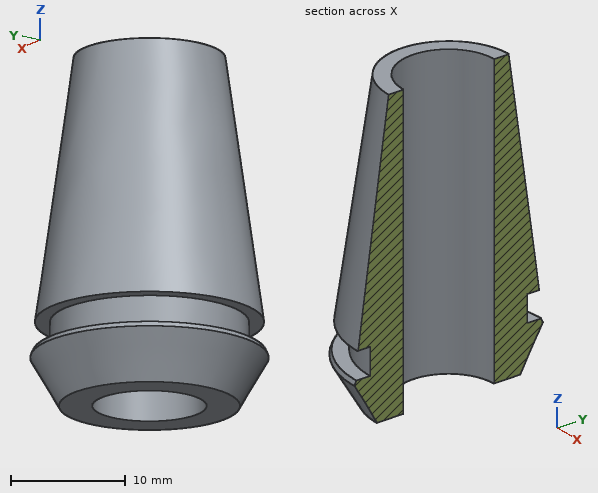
import cadquery as cq
import math

total_height = 31.5
groove_top = 7.6
flange_top = 4.82

bore_diameter = 10.0
nose_diameter = 15.8
flange_diameter = 20.85
flange_top_diameter = 20.4
groove_diameter = 17.4
taper_large_diameter = 20.03
taper_small_diameter = 13.3

nose_half_angle = math.radians(30)
rim_height = (flange_diameter - nose_diameter) / 2 / math.tan(nose_half_angle)

body_profile = [
    (0, 0),
    (nose_diameter, 0),
    (flange_diameter, rim_height),
    (flange_top_diameter, flange_top),
    (groove_diameter, flange_top),
    (groove_diameter, groove_top),
    (taper_large_diameter, groove_top),
    (taper_small_diameter, total_height),
    (0, total_height),
]

body = (
    cq.Workplane("XZ")
    .polyline([(diameter / 2, height) for diameter, height in body_profile])
    .close()
    .revolve(360, (0, 0, 0), (0, 1, 0))
)

bore = cq.Workplane("XY").circle(bore_diameter / 2).extrude(total_height)

result = body.cut(bore)